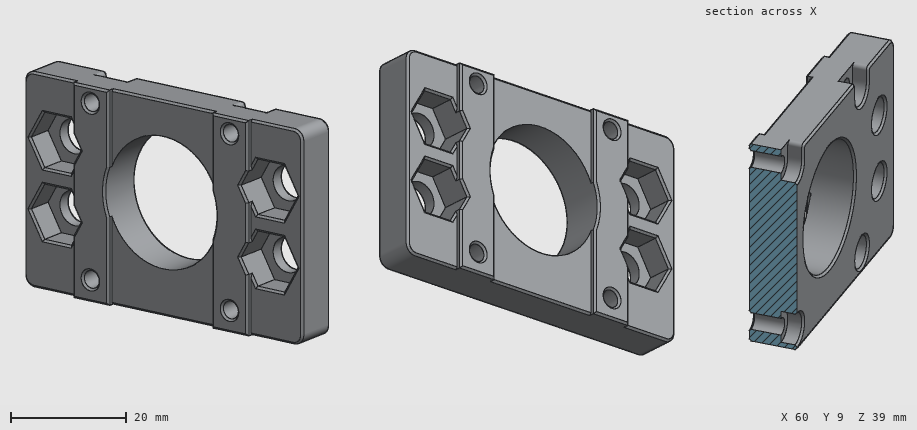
import cadquery as cq
import math

WIDTH = 60.0
HEIGHT = 39.0
PLATE_THICKNESS = 8.0
CORNER_RADIUS = 2.0
CHAMFER = 0.4

RIB_X = 15.0
RIB_WIDTH = 7.75
RIB_HEIGHT = 1.0

BORE_DIAMETER = 24.0
BORE_Z = 1.0

NUT_X = 23.0
NUT_PITCH = 13.0
NUT_FLATS = 10.0
NUT_POCKET_DEPTH = 5.2
NUT_BOLT_DIAMETER = 6.4

SCREW_PITCH = 32.0
SCREW_Z = 0.5
SCREW_DIAMETER = 3.2
HEAD_DIAMETER = 6.0
HEAD_DEPTH = 3.0
LIP_RADIUS = 0.75

PLATE_FRONT = -PLATE_THICKNESS
RIB_FRONT = PLATE_FRONT - RIB_HEIGHT
SIDES = (-1, 1)
COS_30 = math.cos(math.radians(30))
TOLERANCE = 0.01

nut_points = [(side * NUT_X, BORE_Z + end * NUT_PITCH / 2) for side in SIDES for end in SIDES]
screw_points = [(side * RIB_X, SCREW_Z + end * SCREW_PITCH / 2) for side in SIDES for end in SIDES]


def at_depth(y):
    """Workplane facing -Y: local x is X, local y is Z, extruding positive goes forward."""
    return cq.Workplane("XZ", origin=(0, y, 0))


def make_plate():
    plate = at_depth(0).rect(WIDTH, HEIGHT).extrude(PLATE_THICKNESS)
    plate = plate.edges("|Y").fillet(CORNER_RADIUS)
    return plate.faces("<Y").chamfer(CHAMFER)


def make_ribs():
    rib_centers = [(side * RIB_X, 0) for side in SIDES]
    overlap = CHAMFER
    ribs = at_depth(PLATE_FRONT + overlap).pushPoints(rib_centers)
    return ribs.rect(RIB_WIDTH, HEIGHT).extrude(RIB_HEIGHT + overlap)


def make_holes():
    length = PLATE_THICKNESS + RIB_HEIGHT
    bore = at_depth(0).center(0, BORE_Z).circle(BORE_DIAMETER / 2).extrude(length)
    bolts = at_depth(0).pushPoints(nut_points).circle(NUT_BOLT_DIAMETER / 2).extrude(length)
    screws = at_depth(0).pushPoints(screw_points).circle(SCREW_DIAMETER / 2).extrude(length)
    return bore.union(bolts).union(screws)


def make_nut_pockets():
    floor = at_depth(PLATE_FRONT + NUT_POCKET_DEPTH).pushPoints(nut_points)
    return floor.polygon(6, NUT_FLATS / COS_30).extrude(NUT_POCKET_DEPTH + RIB_HEIGHT)


def make_head_pocket(x, z):
    """Screw head recess; an upper one runs out through the top with rounded lips."""
    radius = HEAD_DIAMETER / 2
    recess = at_depth(0).center(x, z).circle(radius).extrude(HEAD_DEPTH)
    if z < 0:
        return recess
    top = HEIGHT / 2
    run_out = (
        at_depth(0)
        .moveTo(x - radius, z)
        .lineTo(x - radius, top - LIP_RADIUS)
        .radiusArc((x - radius - LIP_RADIUS, top), -LIP_RADIUS)
        .lineTo(x + radius + LIP_RADIUS, top)
        .radiusArc((x + radius, top - LIP_RADIUS), -LIP_RADIUS)
        .lineTo(x + radius, z)
        .close()
        .extrude(HEAD_DEPTH)
    )
    return recess.union(run_out)


def is_front_rim(edge):
    """True for rib front edges and for nut pocket edges on the plate front."""
    box = edge.BoundingBox()
    if box.ymax - box.ymin > TOLERANCE:
        return False
    if abs(box.ymin - RIB_FRONT) < TOLERANCE:
        return True
    center = box.center
    on_plate_front = abs(box.ymin - PLATE_FRONT) < TOLERANCE
    near_pocket = any(
        abs(center.x - x) < NUT_FLATS / COS_30 / 2 and abs(center.z - z) < NUT_FLATS / 2 + TOLERANCE
        for x, z in nut_points
    )
    beside_rib = abs(abs(center.x) - (RIB_X + RIB_WIDTH / 2)) < TOLERANCE
    return on_plate_front and near_pocket and not beside_rib


body = make_plate().union(make_ribs()).cut(make_holes()).cut(make_nut_pockets())
front_rims = [edge for edge in body.edges().vals() if is_front_rim(edge)]
body = body.newObject(front_rims).chamfer(CHAMFER)
for screw_x, screw_z in screw_points:
    body = body.cut(make_head_pocket(screw_x, screw_z))

result = body.faces(">Y").chamfer(CHAMFER)